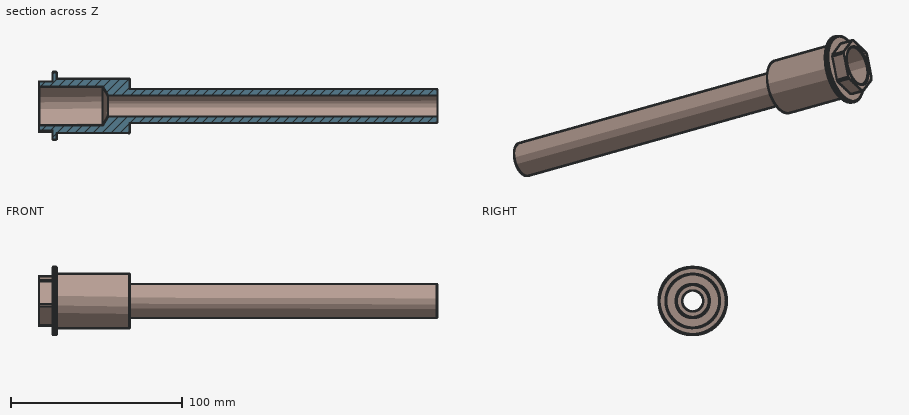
import cadquery as cq
import math

total_length = 233.0
hex_height = 8.0
flange_thickness = 2.5
body_end = 53.1

flange_diameter = 40.0
body_diameter = 32.0
shaft_diameter = 20.0
hex_across_flats = 27.0
hex_corner_diameter = 30.5
hex_angle = 9.5

flange_chamfer = 0.7
body_chamfer = 0.5
shaft_chamfer = 0.7
socket_chamfer = 0.5

socket_diameter = 22.4
socket_depth = 37.3
bore_diameter = 12.0
cone_length = 3.0


def cylinder(start, length, diameter):
    """Cylinder on the X axis beginning at x = start."""
    return cq.Workplane("YZ", origin=(start, 0, 0)).circle(diameter / 2).extrude(length)


def hex_head():
    """Hexagon with its corners turned down to a cylinder."""
    sharp_corner_diameter = hex_across_flats / math.cos(math.pi / 6)
    sharp_hexagon = (
        cq.Workplane("YZ")
        .polygon(6, sharp_corner_diameter)
        .extrude(hex_height)
        .rotate((0, 0, 0), (1, 0, 0), hex_angle)
    )
    return sharp_hexagon.intersect(cylinder(0, hex_height, hex_corner_diameter))


def stepped_bore():
    """Wide socket with a chamfered mouth, conical transition and narrow through bore."""
    socket_radius = socket_diameter / 2
    bore_radius = bore_diameter / 2
    cone_end = socket_depth + cone_length
    profile = [
        (0, 0),
        (0, socket_radius + socket_chamfer),
        (socket_chamfer, socket_radius),
        (socket_depth, socket_radius),
        (cone_end, bore_radius),
        (total_length, bore_radius),
        (total_length, 0),
    ]
    return cq.Workplane("XY").polyline(profile).close().revolve(360, (0, 0, 0), (1, 0, 0))


flange = cylinder(hex_height, flange_thickness, flange_diameter).edges().chamfer(flange_chamfer)
body_start = hex_height + flange_thickness / 2
body = cylinder(body_start, body_end - body_start, body_diameter).faces(">X").chamfer(body_chamfer)
shaft = cylinder(body_start, total_length - body_start, shaft_diameter).faces(">X").chamfer(shaft_chamfer)

result = hex_head().union(flange).union(body).union(shaft).cut(stepped_bore())